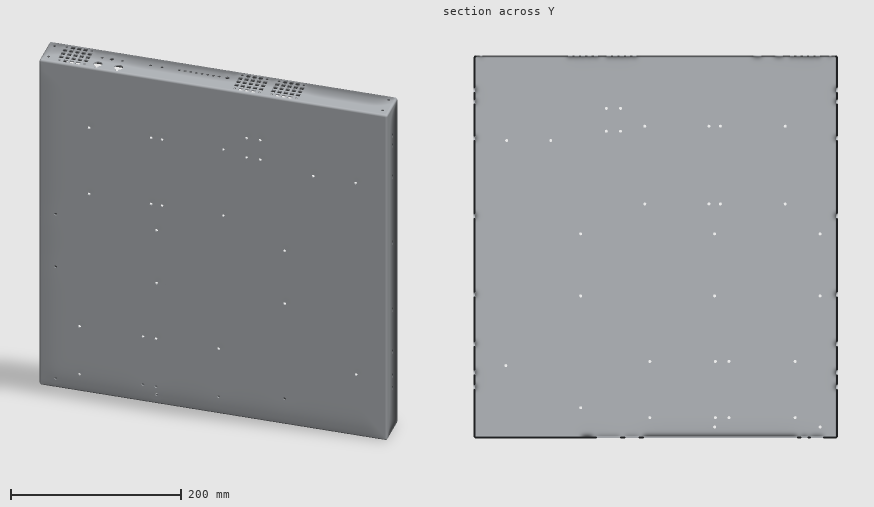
import cadquery as cq

WIDTH = 428.0
DEPTH = 43.69
HEIGHT = 450.0
SHEET = 1.5
OUTER_RADIUS = 2.6
INNER_RADIUS = OUTER_RADIUS - SHEET
FLANGE = 20.0

CUT_MARGIN = 2 * SHEET
CUT_LENGTH = SHEET + 2 * CUT_MARGIN

FRONT_HOLE = 3.5
BOARD_A_X = (-152.6, -76.3, -62.9, 12.6)
BOARD_A_Z = (141.7, 50.3)
BOARD_B_X = (-164.3, -86.4, -70.4, 6.7)
BOARD_B_Z = (-135.0, -201.2)
BOARD_C_X = (41.1, 57.9)
BOARD_C_Z = (162.7, 135.8)
BOARD_D_X = (-193.7, -69.6, 88.0)
BOARD_D_Z = (15.1, -57.9)
SINGLE_FRONT_HOLES = [
    (-193.7, -212.1),
    (-69.6, -212.1),
    (88.0, -189.5),
    (123.2, 124.9),
    (175.2, 124.9),
    (176.1, -140.0),
]

SIDE_HOLE = 5.2
SIDE_HOLES_Z = (184.5, 170.8, 127.8, 36.3, -56.2, -114.4, -147.6, -164.7)

GRILLES_Y = -0.5
GRILLES_X = (-175.8, 39.9, 85.2)
GRILLE_COUNT = 5
GRILLE_PITCH = 7.6
VENT_SIZE = 5.1
FAN_SCREW_HOLE = 3.2

CORNER_HOLE = 3.6
CORNER_HOLES_X = (-205.5, 205.5)
CORNER_HOLES_Y = (12.7, -11.8)

CONTROL_ROW_Y = 4.2
INDICATOR_HOLE = 3.4
SINGLE_INDICATORS_X = (-144.5, -119.5, -84.9, -70.9)
INDICATOR_COUNT = 8
INDICATOR_PITCH = 7.0
FIRST_INDICATOR_X = -49.6
SWITCH_HOLE = 5.0
SWITCHES_X = (-132.5, 9.6)

KEYHOLES_X = (-145.0, -119.7)
KEYHOLE_Y = -10.7
KEYHOLE_DIAMETER = 10.5
KEYHOLE_SLOT_WIDTH = 3.0
KEYHOLE_SLOT_END_Y = -19.0

BOTTOM_VENT_COLUMNS = [(-197.0, -182.5), (-179.0, -171.0)]
BOTTOM_VENT_ROWS = [(-18.5, -12.0), (-8.7, 3.2), (6.5, 18.5)]
BOTTOM_SLOT = ((-166.5, 14.0), (-3.0, 10.0))
BOTTOM_WINDOWS = [
    ((20.0, 36.0), (-14.0, 0.5)),
    ((41.5, 69.5), (-14.0, 0.5)),
    ((74.0, 86.5), (-14.0, -4.0)),
]


def rounded_box(width, depth, height, radius):
    return cq.Workplane("XY").box(width, depth, height).edges().fillet(radius)


def grid(first_positions, second_positions):
    return [(a, b) for a in first_positions for b in second_positions]


def front_plane():
    """XZ plane inside the cavity; extruding from it goes out through the front wall."""
    return cq.Workplane("XZ", origin=(0, -DEPTH / 2 + SHEET + CUT_MARGIN, 0))


def top_plane():
    """XY plane inside the cavity; extruding from it goes out through the top wall."""
    return cq.Workplane("XY", origin=(0, 0, HEIGHT / 2 - SHEET - CUT_MARGIN))


def bottom_plane():
    """XY plane below the part; extruding from it goes up through the bottom wall."""
    return cq.Workplane("XY", origin=(0, 0, -HEIGHT / 2 - CUT_MARGIN))


def round_holes(plane, points, diameter):
    return plane.pushPoints(points).circle(diameter / 2).extrude(CUT_LENGTH)


def rectangle(plane, x_range, y_range):
    x_min, x_max = x_range
    y_min, y_max = y_range
    centre = ((x_min + x_max) / 2, (y_min + y_max) / 2)
    return plane.center(*centre).rect(x_max - x_min, y_max - y_min).extrude(CUT_LENGTH)


def shell():
    outer = rounded_box(WIDTH, DEPTH, HEIGHT, OUTER_RADIUS)
    cavity = rounded_box(WIDTH - 2 * SHEET, DEPTH - 2 * SHEET, HEIGHT - 2 * SHEET, INNER_RADIUS)
    back_opening = (
        cq.Workplane("XY")
        .box(WIDTH - 2 * FLANGE, DEPTH, HEIGHT - 2 * FLANGE)
        .translate((0, DEPTH / 2, 0))
    )
    return outer.cut(cavity).cut(back_opening)


def cut_front_holes(body):
    points = (
        grid(BOARD_A_X, BOARD_A_Z)
        + grid(BOARD_B_X, BOARD_B_Z)
        + grid(BOARD_C_X, BOARD_C_Z)
        + grid(BOARD_D_X, BOARD_D_Z)
        + SINGLE_FRONT_HOLES
    )
    return body.cut(round_holes(front_plane(), points, FRONT_HOLE))


def cut_side_holes(body):
    points = [(0, z) for z in SIDE_HOLES_Z]
    plane = cq.Workplane("YZ").pushPoints(points)
    return body.cut(plane.circle(SIDE_HOLE / 2).extrude(WIDTH, both=True))


def cut_grille(body, grille_x):
    last = GRILLE_COUNT - 1
    vents = []
    screws = []
    for column, row in grid(range(GRILLE_COUNT), range(GRILLE_COUNT)):
        vent_x = grille_x + (column - last / 2) * GRILLE_PITCH
        vent_y = GRILLES_Y + (row - last / 2) * GRILLE_PITCH
        is_corner = column in (0, last) and row in (0, last)
        if is_corner:
            screws.append((vent_x, vent_y))
        else:
            vents.append((vent_x, vent_y))
    body = body.cut(top_plane().pushPoints(vents).rect(VENT_SIZE, VENT_SIZE).extrude(CUT_LENGTH))
    return body.cut(round_holes(top_plane(), screws, FAN_SCREW_HOLE))


def cut_control_row(body):
    indicators_x = [FIRST_INDICATOR_X + i * INDICATOR_PITCH for i in range(INDICATOR_COUNT)]
    indicators_x.extend(SINGLE_INDICATORS_X)
    body = body.cut(round_holes(top_plane(), grid(indicators_x, [CONTROL_ROW_Y]), INDICATOR_HOLE))
    return body.cut(round_holes(top_plane(), grid(SWITCHES_X, [CONTROL_ROW_Y]), SWITCH_HOLE))


def cut_keyhole(body, keyhole_x):
    half_slot = KEYHOLE_SLOT_WIDTH / 2
    slot_x = (keyhole_x - half_slot, keyhole_x + half_slot)
    slot = rectangle(top_plane(), slot_x, (KEYHOLE_SLOT_END_Y, KEYHOLE_Y))
    hole = round_holes(top_plane(), [(keyhole_x, KEYHOLE_Y)], KEYHOLE_DIAMETER)
    return body.cut(hole.union(slot))


def cut_bottom_openings(body):
    openings = grid(BOTTOM_VENT_COLUMNS, BOTTOM_VENT_ROWS) + [BOTTOM_SLOT] + BOTTOM_WINDOWS
    for x_range, y_range in openings:
        body = body.cut(rectangle(bottom_plane(), x_range, y_range))
    return body


result = shell()
result = cut_front_holes(result)
result = cut_side_holes(result)
for x in GRILLES_X:
    result = cut_grille(result, x)
result = result.cut(round_holes(top_plane(), grid(CORNER_HOLES_X, CORNER_HOLES_Y), CORNER_HOLE))
result = cut_control_row(result)
for x in KEYHOLES_X:
    result = cut_keyhole(result, x)
result = cut_bottom_openings(result)